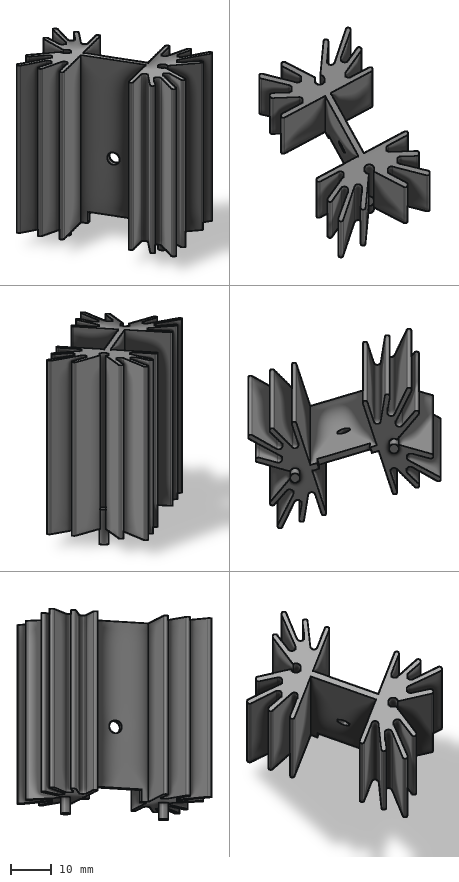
import cadquery as cq
import math

total_height = 48.45
pin_exposed = 4.0
pin_length = 8.95
sink_height = total_height - pin_exposed

sink_width = 41.9
sink_depth = 25.4

pin_diameter = 2.4
pin_spacing = 25.4
pin_x = pin_spacing / 2

web_thickness = 1.55
mount_hole_diameter = 3.2
mount_hole_z = 22.25
notch_width = 13.55
notch_height = 3.05

web_span = 17.05
straight_tip_radius = 0.6
splayed_tip_radius = 0.65
straight_tip_x = web_span / 2 + straight_tip_radius
steep_tip_x = 14.8
outer_tip_x = sink_width / 2 - splayed_tip_radius
straight_tip_y = sink_depth / 2 - straight_tip_radius
splayed_tip_y = sink_depth / 2 - splayed_tip_radius
low_tip_y = 5.85

first_valley_radius = 0.85
valley_radius = 0.95
first_valley_x = straight_tip_x + straight_tip_radius + first_valley_radius
first_valley_y = 6.9
second_valley_x = 14.45
second_valley_y = 7.9
third_valley_x = 15.55
third_valley_y = 4.65

fin_rounds = [
    (straight_tip_x, straight_tip_y, straight_tip_radius),
    (first_valley_x, first_valley_y, first_valley_radius),
    (steep_tip_x, splayed_tip_y, splayed_tip_radius),
    (second_valley_x, second_valley_y, valley_radius),
    (outer_tip_x, splayed_tip_y, splayed_tip_radius),
    (third_valley_x, third_valley_y, valley_radius),
    (outer_tip_x, low_tip_y, splayed_tip_radius),
    (pin_x, 0.0, 0.0),
]


def point_on(fin_round, angle):
    x, y, radius = fin_round
    return (x + radius * math.cos(angle), y + radius * math.sin(angle))


def flank_angle(start, end, from_tip):
    """Outward normal angle of the flank that is tangent to two rounds and crosses between them.

    Material lies on the right when travelling from start to end.
    """
    dx = end[0] - start[0]
    dy = end[1] - start[1]
    radius_sum = start[2] + end[2]
    offset = radius_sum if from_tip else -radius_sum
    return math.atan2(dy, dx) + math.acos(offset / math.hypot(dx, dy))


def make_quarter():
    """Quarter of the heat sink extrusion in +X, +Y, starting at the middle of the web."""
    half_web = web_thickness / 2
    outline = (
        cq.Workplane("XY")
        .workplane(offset=pin_exposed)
        .moveTo(0, 0)
        .lineTo(0, half_web)
        .lineTo(web_span / 2, half_web)
        .lineTo(web_span / 2, straight_tip_y)
    )
    normal = math.pi
    for index, (current, following) in enumerate(zip(fin_rounds, fin_rounds[1:])):
        is_tip = index % 2 == 0
        next_normal = flank_angle(current, following, is_tip)
        if is_tip:
            turn = (normal - next_normal) % math.tau
        else:
            turn = -((next_normal - normal) % math.tau)
        contact_shift = 0 if is_tip else math.pi
        middle = point_on(current, normal - turn / 2 + contact_shift)
        arc_end = point_on(current, next_normal + contact_shift)
        flank_end = point_on(following, next_normal + math.pi - contact_shift)
        outline = outline.threePointArc(middle, arc_end).lineTo(*flank_end)
        normal = next_normal
    return outline.close().extrude(sink_height)


def make_pin(x):
    return cq.Workplane("XY").center(x, 0).circle(pin_diameter / 2).extrude(pin_length)


def make_heat_sink():
    quarter = make_quarter()
    half = quarter.union(quarter.mirror("XZ"))
    sink = half.union(half.mirror("YZ")).clean()

    pin_bores = (
        cq.Workplane("XY")
        .pushPoints([(-pin_x, 0), (pin_x, 0)])
        .circle(pin_diameter / 2)
        .extrude(total_height)
    )
    mount_hole = (
        cq.Workplane("XZ")
        .center(0, mount_hole_z)
        .circle(mount_hole_diameter / 2)
        .extrude(web_thickness, both=True)
    )
    notch = (
        cq.Workplane("XY")
        .workplane(offset=pin_exposed)
        .rect(notch_width, 2 * web_thickness)
        .extrude(notch_height)
    )
    return sink.cut(pin_bores).cut(mount_hole).cut(notch)


heat_sink = make_heat_sink()
pins = [make_pin(x) for x in (-pin_x, pin_x)]

result = cq.Compound.makeCompound([heat_sink.val(), *[pin.val() for pin in pins]])